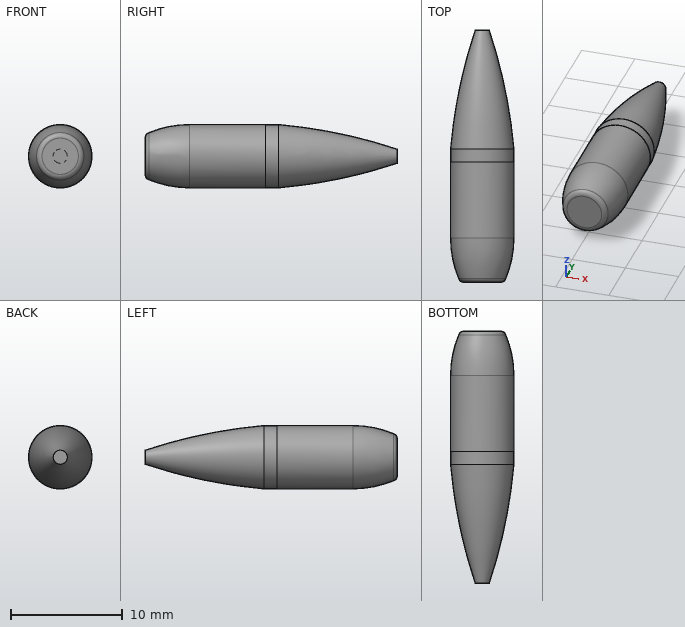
import cadquery as cq
import math

total_length = 22.62
base_edge_y = 0.36
tail_end_y = 3.98
band_start_y = 10.81
band_end_y = 11.97

body_radius = 5.7 / 2
band_radius = 5.65 / 2
base_flat_radius = 1.63
base_edge_radius = 2.13
tip_radius = 0.63

nose_bulge = 0.32


def bulged_middle(start, end, bulge):
    """Middle point of an arc from start to end, bulging away from the Y axis."""
    run_x = end[0] - start[0]
    run_y = end[1] - start[1]
    chord = math.hypot(run_x, run_y)
    middle_x = (start[0] + end[0]) / 2 + bulge * run_y / chord
    middle_y = (start[1] + end[1]) / 2 - bulge * run_x / chord
    return (middle_x, middle_y)


base_edge = (base_edge_radius, base_edge_y)
tail_end = (body_radius, tail_end_y)
nose_start = (body_radius, band_end_y)
tip_edge = (tip_radius, total_length)

tail_drop = body_radius - base_edge_radius
tail_length = tail_end_y - base_edge_y
tail_chord_angle = math.atan2(tail_drop, tail_length)
tail_bulge = math.hypot(tail_drop, tail_length) / 2 * math.tan(tail_chord_angle / 2)

profile = (
    cq.Workplane("XY")
    .lineTo(base_flat_radius, 0)
    .tangentArcPoint(base_edge, relative=False)
    .threePointArc(bulged_middle(base_edge, tail_end, tail_bulge), tail_end)
    .lineTo(body_radius, band_start_y)
    .lineTo(band_radius, band_start_y)
    .lineTo(band_radius, band_end_y)
    .lineTo(*nose_start)
    .threePointArc(bulged_middle(nose_start, tip_edge, nose_bulge), tip_edge)
    .lineTo(0, total_length)
    .close()
)

result = profile.revolve(360, (0, 0, 0), (0, 1, 0))